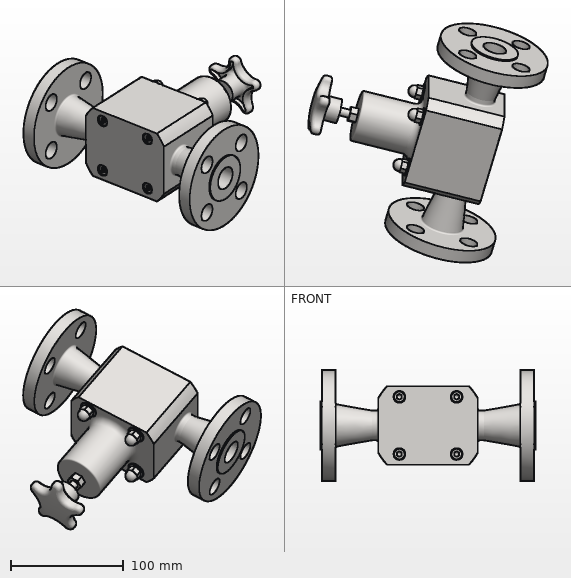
import cadquery as cq
import math


total_length = 190.5
total_depth = 191.3

flange_dia = 98.5
flange_thickness = 12.0
raised_face_dia = 42.9
raised_face_height = 1.3
bore_dia = 20.9
neck_dia = 26.5
neck_length = 5.4
cone_dia = 37.5
neck_fillet = 1.7
flange_hole_dia = 15.9
flange_hole_pitch = 49.0

body_width = 88.2
body_height = 69.8
body_front = -23.0
body_back = body_front + body_height
body_corner_dia = 100.6

bolt_pitch = 50.7
screw_bore_dia = 10.5
screw_bore_depth = 5.7
screw_head_dia = 9.2
screw_head_recess = 1.0
socket_flats = 4.4
socket_depth = 2.3
socket_cone_depth = 1.3
washer_dia = 15.7
washer_thickness = 1.1
cap_nut_flats = 11.0
cap_nut_height = 5.4
cap_dome_dia = cap_nut_flats
cap_collar_height = 1.3

bonnet_dia = 45.7
bonnet_end = 100.8
bonnet_round = 1.3
bonnet_root_fillet = 6.5
lock_nut_flats = 12.2
lock_nut_height = 6.7
stem_dia = 7.5

wheel_top = total_depth - flange_dia / 2
wheel_thickness = 12.2
wheel_bottom = wheel_top - wheel_thickness
arm_count = 5
arm_tip_dia = 9.5
arm_reach = 23.5
dome_radius = 99.5
wheel_fillet = 3.0
pocket_depth = 4.5
hub_root_fillet = 2.9
hub_dia = 22.0
hub_length = 12.6

HEX_CORNER_RATIO = 2 / math.sqrt(3)
ARC_MID_RATIO = 1 - math.sqrt(0.5)


def at_height(y):
    """Workplane facing +Y at the given Y; its local axes are +X and -Z."""
    return cq.Workplane("XZ", origin=(0, y, 0)).transformed(rotate=(180, 0, 0))


def cylinder(dia, y, height):
    return at_height(y).circle(dia / 2).extrude(height)


def hexagon(flats, y, height, turn=0):
    """Hexagonal prism along +Y with corners on X, or on Z when turned by 90 degrees."""
    return at_height(y).transformed(rotate=(0, 0, turn)).polygon(6, flats * HEX_CORNER_RATIO).extrude(height)


def at_bolts(shape):
    """Copies of a shape from the Y axis moved to the four bolt positions."""
    copies = cq.Workplane("XY")
    for x_side in (-1, 1):
        for z_side in (-1, 1):
            offset = (x_side * bolt_pitch / 2, 0, z_side * bolt_pitch / 2)
            copies = copies.add(shape.translate(offset))
    return copies.combine()


def make_body():
    block = cq.Workplane("XY").box(body_width, body_height, body_height)
    block = block.translate((0, (body_front + body_back) / 2, 0))
    return block.intersect(cylinder(body_corner_dia, body_front, body_height))


def make_pipe_end():
    """Weld-neck flange on the -X side, revolved about the X axis."""
    face = -total_length / 2
    flange_front = face + raised_face_height
    flange_back = flange_front + flange_thickness
    wall = -body_width / 2
    bore_radius = bore_dia / 2
    neck_radius = neck_dia / 2
    cone_radius = cone_dia / 2
    arc_mid = neck_fillet * ARC_MID_RATIO

    profile = (
        cq.Workplane("XY")
        .moveTo(face, bore_radius)
        .lineTo(face, raised_face_dia / 2)
        .lineTo(flange_front, raised_face_dia / 2)
        .lineTo(flange_front, flange_dia / 2)
        .lineTo(flange_back, flange_dia / 2)
        .lineTo(flange_back, cone_radius + neck_fillet)
        .threePointArc(
            (flange_back + arc_mid, cone_radius + arc_mid),
            (flange_back + neck_fillet, cone_radius),
        )
        .lineTo(wall - neck_length, neck_radius)
        .lineTo(wall - neck_fillet, neck_radius)
        .threePointArc(
            (wall - arc_mid, neck_radius + arc_mid),
            (wall, neck_radius + neck_fillet),
        )
        .lineTo(wall, bore_radius)
        .close()
    )
    pipe_end = profile.revolve(360, (0, 0, 0), (1, 0, 0))
    holes = (
        cq.Workplane("YZ", origin=(face, 0, 0))
        .rect(flange_hole_pitch, flange_hole_pitch, forConstruction=True)
        .vertices()
        .circle(flange_hole_dia / 2)
        .extrude(raised_face_height + flange_thickness)
    )
    return pipe_end.cut(holes)


def make_screw_clearance():
    """Counterbore that leaves a recessed screw in it, with a hexagon socket ending in a drill cone."""
    head_face = body_front + screw_head_recess
    head = cylinder(screw_head_dia, head_face, screw_bore_depth - screw_head_recess)
    socket = hexagon(socket_flats, head_face, socket_depth, turn=90)
    cone = cq.Solid.makeCone(
        socket_flats / 2,
        0,
        socket_cone_depth,
        cq.Vector(0, head_face + socket_depth, 0),
        cq.Vector(0, 1, 0),
    )
    screw = head.cut(socket).cut(cq.Workplane(cone))
    return cylinder(screw_bore_dia, body_front, screw_bore_depth).cut(screw)


def make_cap_nut():
    nut_base = body_back + washer_thickness
    collar_base = nut_base + cap_nut_height
    dome_base = collar_base + cap_collar_height
    dome = cq.Workplane("XY").sphere(cap_dome_dia / 2).translate((0, dome_base, 0))
    return (
        cylinder(washer_dia, body_back, washer_thickness)
        .union(hexagon(cap_nut_flats, nut_base, cap_nut_height, turn=90))
        .union(cylinder(cap_dome_dia, collar_base, cap_collar_height))
        .union(dome)
    )


def make_root_flare(dia, y, radius):
    """Disc with a concave quarter-round rim that blends a cylinder into the face at y."""
    inner = dia / 2
    arc_mid = radius * ARC_MID_RATIO
    return (
        cq.Workplane("XY")
        .moveTo(0, y)
        .lineTo(inner + radius, y)
        .threePointArc((inner + arc_mid, y + arc_mid), (inner, y + radius))
        .lineTo(0, y + radius)
        .close()
        .revolve(360, (0, 0, 0), (0, 1, 0))
    )


def make_bonnet():
    bonnet = cylinder(bonnet_dia, body_back, bonnet_end - body_back)
    bonnet = bonnet.faces(">Y").edges().fillet(bonnet_round)
    return (
        bonnet.union(make_root_flare(bonnet_dia, body_back, bonnet_root_fillet))
        .union(hexagon(lock_nut_flats, bonnet_end, lock_nut_height))
        .union(cylinder(stem_dia, bonnet_end, wheel_bottom - bonnet_end))
    )


def star_prism(inset, y, height):
    """Star with half-round arm tips and concave arcs between them, one arm on +Z."""
    half_step = math.pi / arm_count
    tip_radius = arm_tip_dia / 2 - inset
    valley_centre = arm_reach / math.cos(half_step)
    valley_radius = arm_reach * math.tan(half_step) - tip_radius

    def polar(radius, angle, sideways=0):
        return (
            radius * math.cos(angle) - sideways * math.sin(angle),
            radius * math.sin(angle) + sideways * math.cos(angle),
        )

    first_arm = -math.pi / 2
    outline = at_height(y).moveTo(*polar(arm_reach, first_arm, -tip_radius))
    for arm in range(arm_count):
        angle = first_arm + 2 * half_step * arm
        next_angle = angle + 2 * half_step
        outline = outline.threePointArc(
            polar(arm_reach + tip_radius, angle),
            polar(arm_reach, angle, tip_radius),
        ).threePointArc(
            polar(valley_centre - valley_radius, angle + half_step),
            polar(arm_reach, next_angle, -tip_radius),
        )
    return outline.close().extrude(height)


def make_handwheel():
    """Domed star wheel, rounded along its rims, with a hub standing in a pocket underneath."""
    dome = cq.Workplane("XY").sphere(dome_radius).translate((0, wheel_top - dome_radius, 0))
    wheel = star_prism(0, wheel_bottom, 2 * wheel_thickness).intersect(dome)
    wheel = wheel.faces("<Y or %SPHERE").edges().fillet(wheel_fillet)
    pocket = star_prism(wheel_fillet, wheel_bottom, pocket_depth)
    hub_base = wheel_bottom - hub_length
    pocket_floor = wheel_bottom + pocket_depth
    flare = make_root_flare(hub_dia, -pocket_floor, hub_root_fillet).mirror("XZ")
    hub = cylinder(hub_dia, hub_base, hub_length + pocket_depth)
    return wheel.cut(pocket).union(flare).union(hub)


pipe_end = make_pipe_end()
result = (
    make_body()
    .cut(at_bolts(make_screw_clearance()))
    .union(pipe_end)
    .union(pipe_end.mirror("YZ"))
    .union(make_bonnet())
    .union(at_bolts(make_cap_nut()))
    .union(make_handwheel())
)